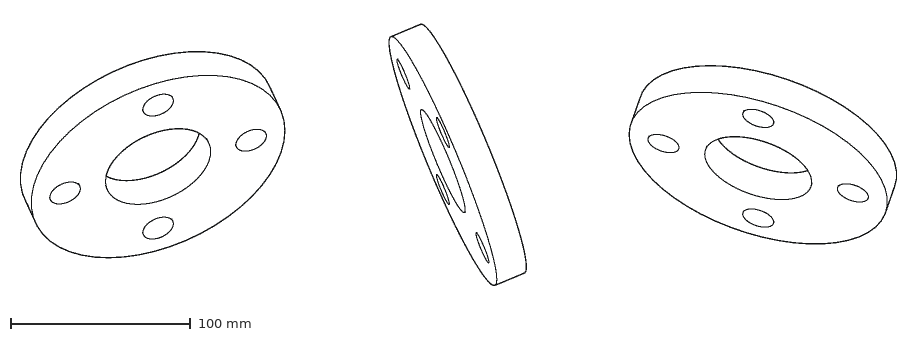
import cadquery as cq

outer_diameter = 150.0
thickness = 18.0
bore_diameter = 62.1
bolt_circle_diameter = 110.0
bolt_hole_diameter = 18.0
bolt_hole_count = 4

disc = (
    cq.Workplane("YZ")
    .circle(outer_diameter / 2)
    .circle(bore_diameter / 2)
    .extrude(thickness)
)

bolt_holes = (
    cq.Workplane("YZ")
    .polarArray(bolt_circle_diameter / 2, 0, 360, bolt_hole_count)
    .circle(bolt_hole_diameter / 2)
    .extrude(thickness)
)

result = disc.cut(bolt_holes)